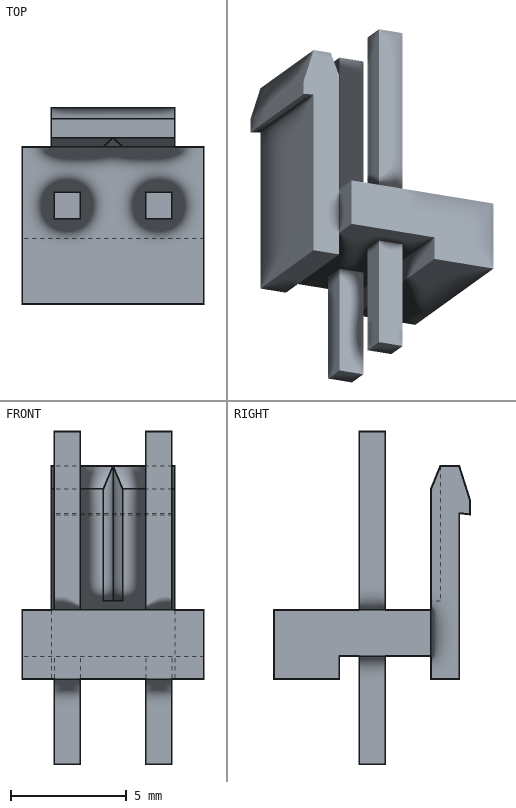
import cadquery as cq

base_width = 7.86
base_depth = 6.8
base_height = 3.0
recess_height = 1.0
front_foot_depth = 2.84

pin_side = 1.14
pin_pitch = 3.96
pin_length = 14.4
pin_tail = 3.69
pin_y = 4.26

wall_width = 5.35
wall_thickness = 1.22
wall_height = 9.22
lead_in_depth = 0.4
lead_in_height = 1.0
hook_reach = 0.48
hook_slope_height = 1.5
hook_tip_height = 0.6
hook_undercut = 0.06

groove_width = 0.84
groove_bottom = 3.38


def make_base():
    profile = [
        (0, 0),
        (front_foot_depth, 0),
        (front_foot_depth, recess_height),
        (base_depth, recess_height),
        (base_depth, base_height),
        (0, base_height),
    ]
    return cq.Workplane("YZ").polyline(profile).close().extrude(base_width / 2, both=True)


def make_latch_wall():
    front = base_depth
    back = front + wall_thickness
    hook_y = back + hook_reach
    hook_top = wall_height - hook_slope_height
    hook_bottom = hook_top - hook_tip_height
    profile = [
        (front, 0),
        (back, 0),
        (back, hook_bottom + hook_undercut),
        (hook_y, hook_bottom),
        (hook_y, hook_top),
        (back, wall_height),
        (front + lead_in_depth, wall_height),
        (front, wall_height - lead_in_height),
    ]
    return cq.Workplane("YZ").polyline(profile).close().extrude(wall_width / 2, both=True)


def make_groove():
    triangle = [
        (-groove_width / 2, base_depth),
        (groove_width / 2, base_depth),
        (0, base_depth + lead_in_depth),
    ]
    groove_height = wall_height - groove_bottom
    return cq.Workplane("XY", origin=(0, 0, groove_bottom)).polyline(triangle).close().extrude(groove_height)


def make_pin(x):
    pin = cq.Workplane("XY").box(pin_side, pin_side, pin_length, centered=(True, True, False))
    return pin.translate((x, pin_y, -pin_tail))


result = make_base().union(make_latch_wall().cut(make_groove()))
for side in (-1, 1):
    result = result.union(make_pin(side * pin_pitch / 2))